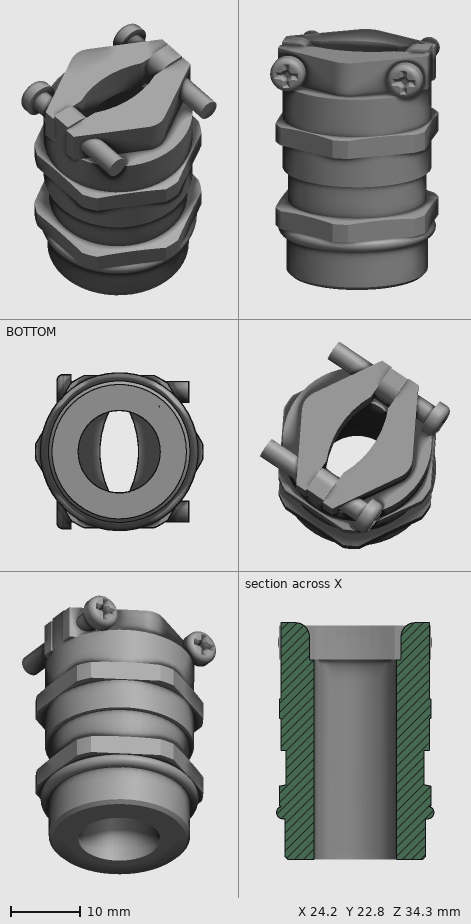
import cadquery as cq
import math

total_height = 34.3
bore_radius = 5.95
thread_radius = 10.22
thread_chamfer = 0.5
neck_radius = 10.0
neck_top = 15.75
sleeve_radius = 10.77
sleeve_top = 28.88

ring_outer_diameter = 22.8
ring_section_diameter = 1.9

nut_sides = 6
nut_bases = (7.8, 20.37)
nut_across_flats = 22.02
nut_corner_radius = 12.1
nut_edge_height = 2.68
nut_top_slope = 11.0

jaw_top = 33.85
jaw_length = nut_across_flats
jaw_end_half_width = 3.15
jaw_side_angle = 30.0
jaw_nose_radius = 3.05
gap_half_width = 1.5
grip_half_width = 2.78
grip_radius = 13.55

lug_round_radius = 2.05

screw_offset = 8.65
screw_height = 31.4
shank_radius = 1.5
shank_end = 10.05
head_radius = 2.5
head_start = -9.02
head_height = 2.05
head_fillet = 0.93

recess_length = 3.57
recess_width = 1.03
recess_depth = 0.55
recess_taper = 40.0
core_half_diagonal = 1.27
core_depth = 0.95
core_taper = 28.0


def cylinder(radius, bottom, top):
    return cq.Workplane("XY").workplane(offset=bottom).circle(radius).extrude(top - bottom)


def make_body():
    thread = cylinder(thread_radius, 0, nut_bases[0]).faces("<Z").chamfer(thread_chamfer)
    neck = cylinder(neck_radius, nut_bases[0], neck_top)
    sleeve = cylinder(sleeve_radius, neck_top, sleeve_top)
    return thread.union(neck).union(sleeve)


def make_sealing_ring():
    section_radius = ring_section_diameter / 2
    center_radius = ring_outer_diameter / 2 - section_radius
    center_height = nut_bases[0] - section_radius
    return (
        cq.Workplane("XZ")
        .center(center_radius, center_height)
        .circle(section_radius)
        .revolve(360, (-center_radius, 0), (-center_radius, 1))
    )


def make_nut(base):
    """Hexagon with rounded corners and a shallow conical top."""
    peak = nut_edge_height + nut_corner_radius * math.tan(math.radians(nut_top_slope))
    across_corners = nut_across_flats / math.cos(math.pi / nut_sides)
    envelope = (
        cq.Workplane("XZ")
        .polyline([(0, 0), (nut_corner_radius, 0), (nut_corner_radius, nut_edge_height), (0, peak)])
        .close()
        .revolve(360, (0, 0), (0, 1))
    )
    hexagon = cq.Workplane("XY").polygon(nut_sides, across_corners).extrude(peak)
    return hexagon.intersect(envelope).translate((0, 0, base))


def make_jaws():
    """Six-sided plate split by the gap, with a lens-shaped grip opening."""
    thickness = jaw_top - sleeve_top
    half_length = jaw_length / 2
    nose = jaw_end_half_width + half_length * math.tan(math.radians(jaw_side_angle))
    outline = [
        (nose, 0),
        (jaw_end_half_width, half_length),
        (-jaw_end_half_width, half_length),
        (-nose, 0),
        (-jaw_end_half_width, -half_length),
        (jaw_end_half_width, -half_length),
    ]
    base = cq.Workplane("XY").workplane(offset=sleeve_top)
    plate = base.polyline(outline).close().extrude(thickness)
    plate = plate.edges("|Z and (<X or >X)").fillet(jaw_nose_radius)

    gap = base.rect(2 * gap_half_width, jaw_length).extrude(thickness)
    lens_half_length = math.sqrt(grip_radius**2 - (grip_radius - grip_half_width) ** 2)
    grip = (
        base.moveTo(0, -lens_half_length)
        .threePointArc((grip_half_width, 0), (0, lens_half_length))
        .threePointArc((-grip_half_width, 0), (0, -lens_half_length))
        .close()
        .extrude(thickness)
    )
    return plate.cut(gap).cut(grip)


def make_lug():
    """Block on the +Y side, rounded along its upper inner edge."""
    width = 2 * gap_half_width
    length = sleeve_radius - (screw_offset - lug_round_radius)
    height = total_height - sleeve_top
    return (
        cq.Workplane("XY")
        .box(width, length, height, centered=(True, False, False))
        .translate((0, sleeve_radius - length, sleeve_top))
        .edges("|X and >Z and <Y")
        .fillet(lug_round_radius)
    )


def make_screw():
    """Pan head screw along X, on the +Y side."""
    face = cq.Workplane("YZ", origin=(head_start, screw_offset, screw_height))
    head = face.circle(head_radius).extrude(head_height).faces("<X").edges().fillet(head_fillet)
    shank = face.circle(shank_radius).extrude(shank_end - head_start)
    screw = head.union(shank)
    for length, width in ((recess_length, recess_width), (recess_width, recess_length)):
        screw = screw.cut(face.rect(length, width).extrude(recess_depth, taper=recess_taper))
    core = face.polygon(4, 2 * core_half_diagonal).extrude(core_depth, taper=core_taper)
    return screw.cut(core)


result = make_body().union(make_sealing_ring())
for nut_base in nut_bases:
    result = result.union(make_nut(nut_base))
result = result.cut(cylinder(bore_radius, 0, sleeve_top))
result = result.union(make_jaws())

for fitting in (make_lug(), make_screw()):
    result = result.union(fitting).union(fitting.mirror("XZ"))